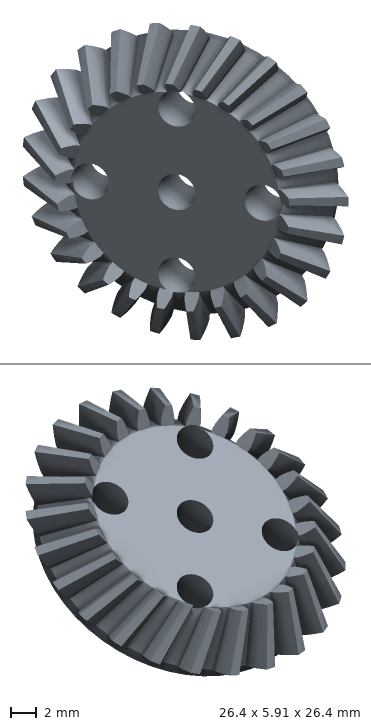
import cadquery as cq
import math

TOOTH_COUNT = 25
TIP_RADIUS = 13.22
ROOT_DIAMETER = 23.23
CONE_DISTANCE = 17.68
FACE_WIDTH = 5.0
DISC_THICKNESS = 1.0

TIP_HALF_WIDTH = 0.4
SHOULDER_HALF_WIDTH = 0.63
FLANK_HALF_WIDTH = 0.82
ROOT_HALF_WIDTH = 0.77
FLANK_START_HEIGHT = 0.55
SHOULDER_HEIGHT = 1.5
ROOT_OVERLAP = 0.13
TOOTH_TWIST = 5.1

HOLE_DIAMETER = 3.0
HOLE_CIRCLE_RADIUS = 7.0
OUTER_HOLE_COUNT = 4

GEAR_AXIS = (cq.Vector(0, 0, 0), cq.Vector(0, 0, 1))

root_radius = ROOT_DIAMETER / 2
tip_angle = math.asin(TIP_RADIUS / CONE_DISTANCE)
root_angle = math.asin(root_radius / CONE_DISTANCE)
middle_angle = (tip_angle + root_angle) / 2
half_tooth_angle = (tip_angle - root_angle) / 2
tooth_half_height = CONE_DISTANCE * math.sin(half_tooth_angle)
apex_height = DISC_THICKNESS + CONE_DISTANCE * math.cos(root_angle)
small_end_ratio = (CONE_DISTANCE - FACE_WIDTH) / CONE_DISTANCE


def gear_blank():
    """Backing disc with the truncated root cone on it, about the Z axis."""
    face_radius = root_radius * small_end_ratio
    face_height = apex_height - (apex_height - DISC_THICKNESS) * small_end_ratio
    return (
        cq.Workplane("XZ")
        .lineTo(root_radius, 0)
        .lineTo(root_radius, DISC_THICKNESS)
        .lineTo(face_radius, face_height)
        .lineTo(0, face_height)
        .close()
        .revolve(360, (0, 0, 0), (0, 1, 0))
    )


def tooth_section(ratio, turn):
    """Closed tooth outline, scaled toward the apex by ratio and turned about the axis."""
    reach = ratio * CONE_DISTANCE * math.cos(half_tooth_angle)
    plane = cq.Plane(
        origin=(reach * math.sin(middle_angle), 0, apex_height - reach * math.cos(middle_angle)),
        xDir=(0, 1, 0),
        normal=(math.sin(middle_angle), 0, -math.cos(middle_angle)),
    )

    def point(across, height):
        return (ratio * across, ratio * (height - tooth_half_height))

    tip_height = 2 * tooth_half_height
    outline = (
        cq.Workplane(plane)
        .moveTo(*point(-ROOT_HALF_WIDTH, -ROOT_OVERLAP))
        .lineTo(*point(ROOT_HALF_WIDTH, -ROOT_OVERLAP))
        .lineTo(*point(FLANK_HALF_WIDTH, FLANK_START_HEIGHT))
        .threePointArc(
            point(SHOULDER_HALF_WIDTH, SHOULDER_HEIGHT),
            point(TIP_HALF_WIDTH, tip_height),
        )
        .lineTo(*point(-TIP_HALF_WIDTH, tip_height))
        .threePointArc(
            point(-SHOULDER_HALF_WIDTH, SHOULDER_HEIGHT),
            point(-FLANK_HALF_WIDTH, FLANK_START_HEIGHT),
        )
        .close()
    )
    return outline.val().rotate(*GEAR_AXIS, turn)


def twisted_tooth():
    """One tooth, ruled from the large end to the smaller, turned end."""
    large_end = tooth_section(1, 0)
    small_end = tooth_section(small_end_ratio, TOOTH_TWIST)
    return cq.Solid.makeLoft([large_end, small_end], True)


def through_holes():
    """Cutters for the bore and the ring of holes around it."""
    bore = cq.Workplane("XY").circle(HOLE_DIAMETER / 2).extrude(apex_height)
    ring = (
        cq.Workplane("XY")
        .polarArray(HOLE_CIRCLE_RADIUS, 0, 360, OUTER_HOLE_COUNT)
        .circle(HOLE_DIAMETER / 2)
        .extrude(apex_height)
    )
    return bore.union(ring)


gear = gear_blank()
tooth = twisted_tooth()
for index in range(TOOTH_COUNT):
    angle = index * 360 / TOOTH_COUNT
    gear = gear.union(cq.Workplane(tooth.rotate(*GEAR_AXIS, angle)))

gear = gear.cut(through_holes())

result = gear.rotate((0, 0, 0), (1, 0, 0), 90)